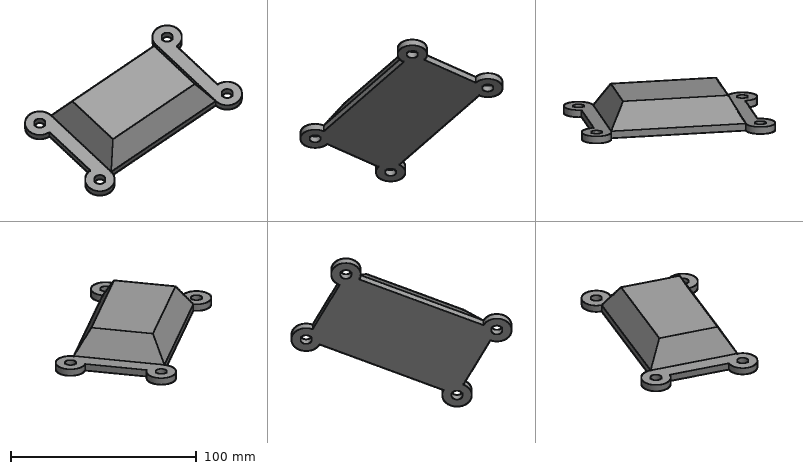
import cadquery as cq
import math

length = 106.0
width = 66.0
height = 18.0

plate_thickness = 4.0
ear_diameter = 16.0
hole_diameter = 6.0
hole_spacing_x = width - ear_diameter
hole_spacing_y = length - ear_diameter

cover_length = hole_spacing_y - ear_diameter
cover_slope = 60.0
cover_height = height - plate_thickness
cover_inset = cover_height / math.tan(math.radians(cover_slope))


def at_ear_centers(plane):
    return plane.rarray(hole_spacing_x, hole_spacing_y, 2, 2)


def base_plate():
    plate = cq.Workplane("XY").rect(hole_spacing_x, hole_spacing_y).extrude(plate_thickness)
    ears = at_ear_centers(cq.Workplane("XY")).circle(ear_diameter / 2).extrude(plate_thickness)
    return plate.union(ears)


def cover():
    return (
        cq.Workplane("XY", origin=(0, 0, plate_thickness))
        .rect(hole_spacing_x, cover_length)
        .workplane(offset=cover_height)
        .rect(hole_spacing_x - 2 * cover_inset, cover_length - 2 * cover_inset)
        .loft(ruled=True)
    )


def mounting_holes():
    return at_ear_centers(cq.Workplane("XY")).circle(hole_diameter / 2).extrude(plate_thickness)


result = base_plate().union(cover()).cut(mounting_holes())